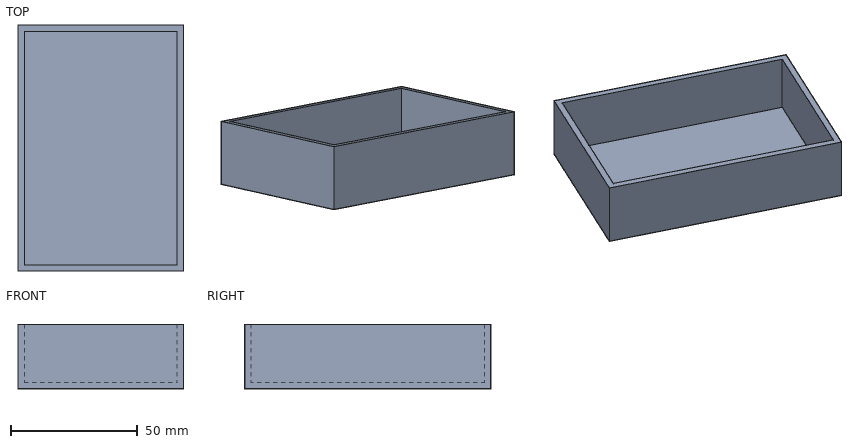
import cadquery as cq

WIDTH = 65.41
LENGTH = 97.16
HEIGHT = 25.4

WALL = 2.54
FLOOR = WALL


def tray_body():
    """Solid block centred in X and Y, standing on Z = 0."""
    return cq.Workplane("XY").box(WIDTH, LENGTH, HEIGHT, centered=(True, True, False))


def cavity():
    """Rectangular cavity from the floor up to the open rim."""
    return (
        cq.Workplane("XY")
        .workplane(offset=FLOOR)
        .rect(WIDTH - 2 * WALL, LENGTH - 2 * WALL)
        .extrude(HEIGHT - FLOOR)
    )


result = tray_body().cut(cavity())